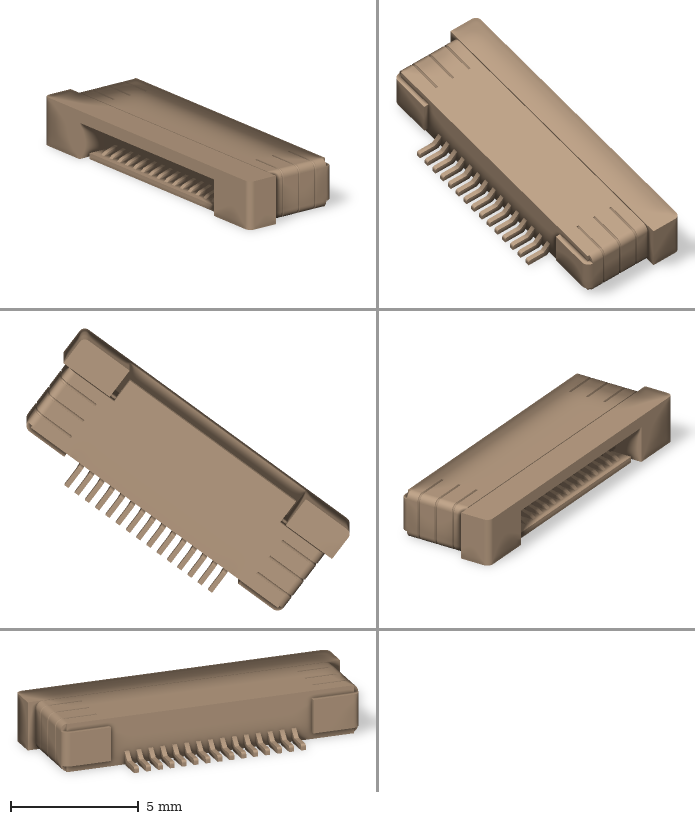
import cadquery as cq
import math


LENGTH = 13.1
DEPTH = 5.2
HEIGHT = 2.0

SLIDER_DEPTH = 1.31
SLIDER_CORNER_RADIUS = 0.25
OPENING_WIDTH = 8.6
OPENING_HEIGHT = 1.5
BACK_WALL = 0.09

SLIDER_GAP = 0.04
HOUSING_FRONT = SLIDER_DEPTH + SLIDER_GAP
HOUSING_BACK = 4.14
HOUSING_WIDTH = 8.1
TRAY_FRONT = 0.31
TRAY_THICKNESS = 0.25

CONTACT_COUNT = 15
CONTACT_PITCH = 0.5
CONTACT_WIDTH = 0.2
CONTACT_SETBACK = 0.22
CONTACT_FRONT = TRAY_FRONT + CONTACT_SETBACK
NOSE_LENGTH = 0.16
NOSE_HEIGHT = 0.12
RAMP_SLOPE = 0.31
TAIL_THICKNESS = 0.25
TAIL_TOP_BEND_Y = 4.49
TAIL_BOTTOM_BEND_Y = 4.3
TAIL_BEND_RADIUS = 0.1
TAIL_BEND_ANGLE = math.radians(45)
TAIL_TIP_RADIUS = 0.1

CAP_OUTER_X = 6.24
CAP_INNER_X = HOUSING_WIDTH / 2
CAP_RADIUS = 0.3
PAD_BACK = 4.35
PAD_INNER_X = 4.25
NOTCH_WIDTH = 0.21
GROOVE_RADIUS = 0.05
GROOVE_INNER_X = 4.53
GROOVE_COUNT = 3
GROOVE_PITCH = 0.8
FIRST_GROOVE_Y = 1.9


def block(x_range, y_range, z_range):
    """Box given by its lower and upper limits along each axis."""
    (x0, x1), (y0, y1), (z0, z1) = x_range, y_range, z_range
    return cq.Workplane("XY").box(x1 - x0, y1 - y0, z1 - z0, centered=False).translate((x0, y0, z0))


def contact_places():
    """X position of the middle of each contact."""
    first = -CONTACT_PITCH * (CONTACT_COUNT - 1) / 2
    return [first + index * CONTACT_PITCH for index in range(CONTACT_COUNT)]


def make_contact_front(x):
    """Ramp that rises from the tray and runs back to the housing, through the slider's back wall."""
    nose_y = CONTACT_FRONT + NOSE_LENGTH
    nose_z = TRAY_THICKNESS + NOSE_HEIGHT
    end_z = nose_z + RAMP_SLOPE * (HOUSING_FRONT - nose_y)
    return (
        cq.Workplane("YZ", origin=(x - CONTACT_WIDTH / 2, 0, 0))
        .moveTo(CONTACT_FRONT, TRAY_THICKNESS)
        .lineTo(nose_y, nose_z)
        .lineTo(HOUSING_FRONT, end_z)
        .lineTo(HOUSING_FRONT, TRAY_THICKNESS)
        .close()
        .extrude(CONTACT_WIDTH)
    )


def make_contact_tail(x):
    """Solder tail that slopes down from the housing and lies flat behind it, with a rounded tip."""
    bend_end_y = TAIL_TOP_BEND_Y - TAIL_BEND_RADIUS * math.sin(TAIL_BEND_ANGLE)
    bend_end_z = TAIL_THICKNESS + TAIL_BEND_RADIUS * (1 - math.cos(TAIL_BEND_ANGLE))
    slope = math.tan(TAIL_BEND_ANGLE)
    root_top_z = bend_end_z + slope * (bend_end_y - HOUSING_BACK)
    root_bottom_z = slope * (TAIL_BOTTOM_BEND_Y - HOUSING_BACK)
    return (
        cq.Workplane("YZ", origin=(x - CONTACT_WIDTH / 2, 0, 0))
        .moveTo(HOUSING_BACK, root_bottom_z)
        .lineTo(TAIL_BOTTOM_BEND_Y, 0)
        .lineTo(DEPTH, 0)
        .lineTo(DEPTH, TAIL_THICKNESS - TAIL_TIP_RADIUS)
        .radiusArc((DEPTH - TAIL_TIP_RADIUS, TAIL_THICKNESS), -TAIL_TIP_RADIUS)
        .lineTo(TAIL_TOP_BEND_Y, TAIL_THICKNESS)
        .radiusArc((bend_end_y, bend_end_z), TAIL_BEND_RADIUS)
        .lineTo(HOUSING_BACK, root_top_z)
        .close()
        .extrude(CONTACT_WIDTH)
    )


def make_housing():
    """Middle block with the tray under the slider and the row of contacts."""
    half_width = HOUSING_WIDTH / 2
    housing = block((-half_width, half_width), (HOUSING_FRONT, HOUSING_BACK), (0, HEIGHT))
    tray = block((-half_width, half_width), (TRAY_FRONT, HOUSING_FRONT), (0, TRAY_THICKNESS))
    housing = housing.union(tray)
    for x in contact_places():
        housing = housing.union(make_contact_front(x))
        housing = housing.union(make_contact_tail(x))
    return housing


def make_slider():
    """Front bar with the cable opening, closed behind by a thin wall above the tray."""
    half_length = LENGTH / 2
    half_opening = OPENING_WIDTH / 2
    opening_x = (-half_opening, half_opening)
    slider = block((-half_length, half_length), (0, SLIDER_DEPTH), (0, HEIGHT))
    slider = slider.edges("|Z and <Y").fillet(SLIDER_CORNER_RADIUS)
    slider = slider.cut(block(opening_x, (0, SLIDER_DEPTH - BACK_WALL), (0, OPENING_HEIGHT)))
    slider = slider.cut(block(opening_x, (0, SLIDER_DEPTH), (0, TRAY_THICKNESS)))
    for x in contact_places():
        slider = slider.cut(make_contact_front(x))
    return slider


def make_groove(y):
    """Half-round grip groove that wraps over the top, outer side and bottom of the right-hand cap."""
    arc_start_x = CAP_OUTER_X - CAP_RADIUS
    path = (
        cq.Workplane("XZ", origin=(0, y, 0))
        .moveTo(GROOVE_INNER_X, HEIGHT)
        .lineTo(arc_start_x, HEIGHT)
        .radiusArc((CAP_OUTER_X, HEIGHT - CAP_RADIUS), CAP_RADIUS)
        .lineTo(CAP_OUTER_X, CAP_RADIUS)
        .radiusArc((arc_start_x, 0), CAP_RADIUS)
        .lineTo(GROOVE_INNER_X, 0)
    )
    return (
        cq.Workplane("YZ", origin=(GROOVE_INNER_X, y, HEIGHT))
        .circle(GROOVE_RADIUS)
        .sweep(path)
    )


def make_right_cap():
    """End cap on the +X side: rounded outside, with a lower pad at the back and three grip grooves."""
    pad_z = (CAP_RADIUS, HEIGHT - CAP_RADIUS)
    round_end_y = PAD_BACK - CAP_RADIUS

    cap = block((CAP_INNER_X, CAP_OUTER_X), (HOUSING_FRONT, round_end_y), (0, HEIGHT))
    cap = cap.edges("|Y and >X").fillet(CAP_RADIUS)
    back_x = (CAP_INNER_X, CAP_OUTER_X - NOTCH_WIDTH)
    cap = cap.union(block(back_x, (round_end_y, HOUSING_BACK), (0, HEIGHT)))

    pad = block((PAD_INNER_X, CAP_OUTER_X), (round_end_y - CAP_RADIUS, PAD_BACK), pad_z)
    pad = pad.edges("|Z and >X and >Y").fillet(CAP_RADIUS)
    cap = cap.union(pad)

    for index in range(GROOVE_COUNT):
        cap = cap.cut(make_groove(FIRST_GROOVE_Y + index * GROOVE_PITCH))
    return cap


housing = make_housing()
slider = make_slider()
right_cap = make_right_cap()
left_cap = right_cap.mirror("YZ")

result = cq.Compound.makeCompound([housing.val(), slider.val(), right_cap.val(), left_cap.val()])